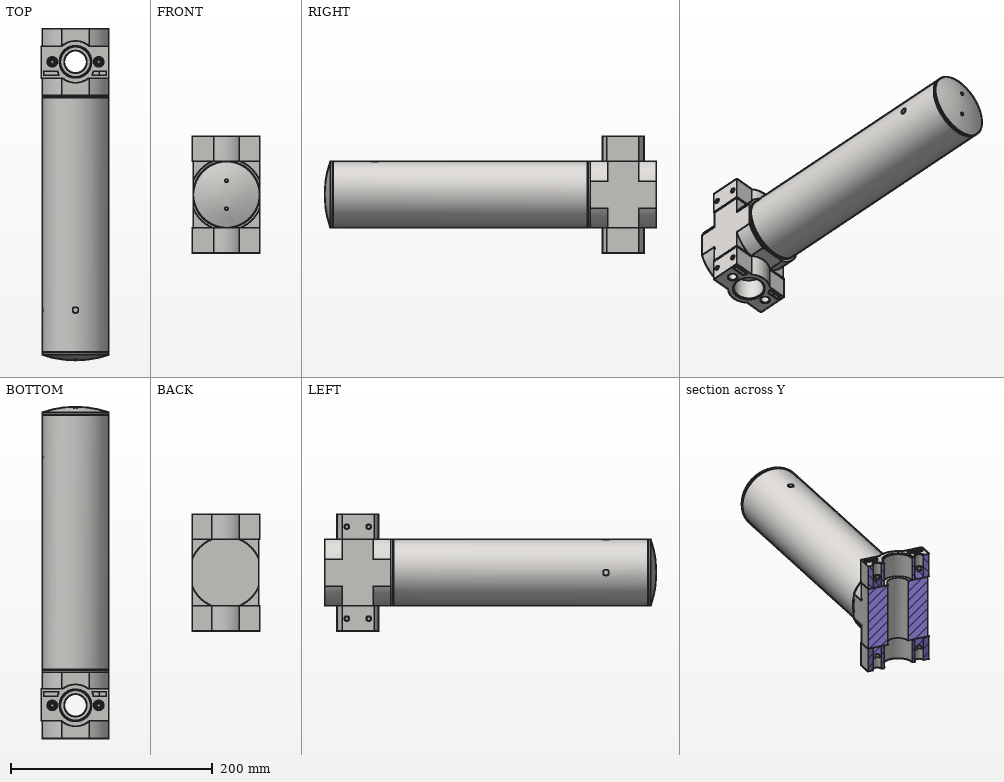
import cadquery as cq
import math


total_length = 329.0
total_height = 116.0

body_width = 66.0
half_body = body_width / 2
head_half_length = 33.0
head_round_dia = 71.5
cross_half_width = 15.5
collar_length = 1.5
head_bore_dia = 22.0

flange_top = total_height / 2
flange_height = flange_top - half_body
flange_overhang = 1.0
flange_front_extra = 1.0
bulge_dia = 41.5
port_dia = 30.0
port_chamfer = 1.0
screw_x = 23.0
screw_hole_dia = 8.5
screw_hole_chamfer = 0.5
side_hole_dia = 4.3
side_hole_chamfer = 0.3
side_hole_depth = 5.0
side_hole_y = 11.0
drill_tip_angle = 118

marker_depth = 0.5
marker_low_y = -13.5
marker_high_y = -9.2
marker_left_x = -31.5
marker_right_x = 30.5
marker_inner_x = 16.5
marker_slant = 1.3
marker_divider_x = 23.7
marker_step = 0.3

screw_recess = 13.0
screw_chamfer = 0.5
screw_socket_dia = 4.0
screw_socket_depth = 3.3

tube_start = -head_half_length - collar_length
tube_end = -288.5
tube_bevel_length = 1.0
tube_bevel_depth = 0.3
vent_y = -246.0
vent_dia = 6.0
vent_depth = 3.3

cap_tip = head_half_length - total_length
dome_height = 5.5
dome_base = cap_tip + dome_height
dome_hole_dia = 3.0
dome_hole_z = 13.8
dome_hole_depth = 3.3


def y_cylinder(diameter, start, end):
    """Cylinder on the Y axis from y = start down to y = end."""
    return cq.Workplane("XZ", origin=(0, start, 0)).circle(diameter / 2).extrude(start - end)


def drilled_hole(diameter, depth, mouth, direction):
    """Blind hole with a conical tip, cut from the mouth point along the direction."""
    radius = diameter / 2
    tip = radius / math.tan(math.radians(drill_tip_angle / 2))
    shaft = cq.Solid.makeCylinder(radius, depth, cq.Vector(*mouth), cq.Vector(*direction))
    cone_start = cq.Vector(*mouth) + cq.Vector(*direction) * depth
    cone = cq.Solid.makeCone(radius, 0, tip, cone_start, cq.Vector(*direction))
    return cq.Workplane(shaft.fuse(cone))


def countersink(diameter, chamfer, mouth, inward):
    """Cone that chamfers the mouth of a hole; the hole runs along the inward direction."""
    cone = cq.Solid.makeCone(
        diameter / 2 + chamfer, diameter / 2, chamfer, cq.Vector(*mouth), cq.Vector(*inward)
    )
    return cq.Workplane(cone)


def make_head():
    square = cq.Workplane("XY").box(body_width, 2 * head_half_length, body_width)
    rounded = square.intersect(y_cylinder(head_round_dia, head_half_length, -head_half_length))
    block = cq.Workplane("XY").box(body_width, 2 * cross_half_width, body_width)
    collar = y_cylinder(body_width, -head_half_length, tube_start)
    bore = cq.Workplane("XY").circle(head_bore_dia / 2).extrude(body_width, both=True)
    return rounded.union(block).union(collar).cut(bore)


def make_marker(outer_x):
    """Shallow recess with a slanted inner end, on the side where outer_x lies."""
    side = math.copysign(1, outer_x)
    outline = [
        (outer_x, marker_low_y),
        (outer_x, marker_high_y),
        (side * (marker_inner_x + marker_slant), marker_high_y),
        (side * marker_inner_x, marker_low_y),
    ]
    floor = cq.Workplane("XY", origin=(0, 0, flange_top - marker_depth))
    return floor.polyline(outline).close().extrude(marker_depth)


def make_marker_step():
    """Deeper outer part of the +X marker."""
    depth = marker_depth + marker_step
    floor = cq.Workplane("XY", origin=(0, 0, flange_top - depth))
    corners = floor.moveTo(marker_divider_x, marker_low_y).lineTo(marker_right_x, marker_low_y)
    corners = corners.lineTo(marker_right_x, marker_high_y).lineTo(marker_divider_x, marker_high_y)
    return corners.close().extrude(depth)


def make_flange():
    """Upper flange; the lower one is this body turned over."""
    base = cq.Workplane("XY", origin=(0, 0, half_body))
    left = -half_body - flange_overhang
    front = -cross_half_width - flange_front_extra
    plate = base.moveTo(left, front).lineTo(half_body, front).lineTo(half_body, cross_half_width)
    plate = plate.lineTo(left, cross_half_width).close().extrude(flange_height)
    flange = plate.union(base.circle(bulge_dia / 2).extrude(flange_height))

    flange = flange.cut(base.circle(port_dia / 2).extrude(flange_height))
    flange = flange.cut(countersink(port_dia, port_chamfer, (0, 0, flange_top), (0, 0, -1)))

    for x in (-screw_x, screw_x):
        flange = flange.cut(base.center(x, 0).circle(screw_hole_dia / 2).extrude(flange_height))
        mouth = (x, 0, flange_top)
        flange = flange.cut(countersink(screw_hole_dia, screw_hole_chamfer, mouth, (0, 0, -1)))

    for y in (-side_hole_y, side_hole_y):
        mouth = (left, y, half_body + flange_height / 2)
        flange = flange.cut(drilled_hole(side_hole_dia, side_hole_depth, mouth, (1, 0, 0)))
        flange = flange.cut(countersink(side_hole_dia, side_hole_chamfer, mouth, (1, 0, 0)))

    for outer_x in (marker_left_x, marker_right_x):
        flange = flange.cut(make_marker(outer_x))
    return flange.cut(make_marker_step())


def make_screw(x):
    top = flange_top - screw_recess
    seat = cq.Workplane("XY", origin=(x, 0, half_body))
    screw = seat.circle(screw_hole_dia / 2).extrude(top - half_body)
    screw = screw.faces(">Z").edges().chamfer(screw_chamfer)
    socket = drilled_hole(screw_socket_dia, screw_socket_depth, (x, 0, top), (0, 0, -1))
    return screw.cut(socket)


def make_tube():
    rim = half_body - tube_bevel_depth
    profile = [
        (0, tube_start),
        (rim, tube_start),
        (half_body, tube_start - tube_bevel_length),
        (half_body, tube_end + tube_bevel_length),
        (rim, tube_end),
        (0, tube_end),
    ]
    tube = cq.Workplane("XY").polyline(profile).close().revolve(360, (0, 0), (0, 1))
    for direction in ((0, 0, 1), (-1, 0, 0)):
        vent_floor = cq.Vector(0, vent_y, 0) + cq.Vector(*direction) * (half_body - vent_depth)
        vent = cq.Solid.makeCylinder(vent_dia / 2, half_body, vent_floor, cq.Vector(*direction))
        tube = tube.cut(cq.Workplane(vent))
    return tube


def make_cap():
    profile = cq.Workplane("XY").moveTo(0, tube_end).lineTo(half_body, tube_end).lineTo(half_body, dome_base)
    sphere_radius = (half_body**2 + dome_height**2) / (2 * dome_height)
    mid_angle = math.asin(half_body / sphere_radius) / 2
    mid = (
        sphere_radius * math.sin(mid_angle),
        cap_tip + sphere_radius * (1 - math.cos(mid_angle)),
    )
    cap = profile.threePointArc(mid, (0, cap_tip)).close().revolve(360, (0, 0), (0, 1))
    for z in (-dome_hole_z, dome_hole_z):
        hole = cq.Workplane("XZ", origin=(0, cap_tip + dome_hole_depth, z))
        cap = cap.cut(hole.circle(dome_hole_dia / 2).extrude(dome_hole_depth))
    return cap


def turned_over(body):
    """Mirror image of an upper body on the lower side of the head."""
    return body.mirror("XY")


head = make_head()
flange = make_flange()
flanges = [flange, turned_over(flange)]
screws = []
for screw_place in (-screw_x, screw_x):
    screw = make_screw(screw_place)
    screws += [screw, turned_over(screw)]
tube = make_tube()
cap = make_cap()

bodies = [head, *flanges, *screws, tube, cap]
result = cq.Compound.makeCompound([body.val() for body in bodies])